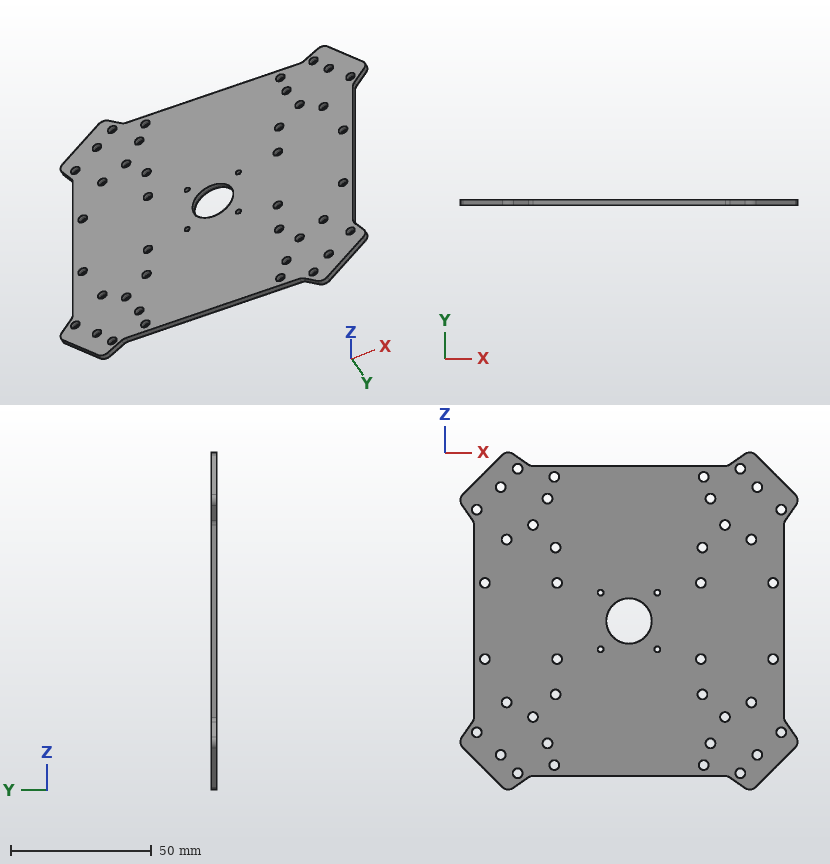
import cadquery as cq
import math

THICKNESS = 2.0
BODY_HALF = 55.0
EDGE_HALF = 35.0

TAB_FLARE_ANGLE = 35.0
TAB_END_DISTANCE = 73.46
TAB_CORNER_RADIUS = 3.0
TAB_ROOT_RADIUS = 3.0

CENTER_BORE_DIAMETER = 16.0
CENTER_SCREW_DIAMETER = 2.0
CENTER_SCREW_SPACING = 20.1

MOUNT_HOLE_DIAMETER = 3.4
TAB_HOLES = [(39.5, 54.0), (45.5, 47.5), (54.0, 39.5)]
ARM_HOLES = [(28.9, 43.4), (34.05, 34.05), (43.4, 28.9), (26.05, 26.05)]
SIDE_HOLES = [(26.5, 51.1), (51.1, 13.5), (25.5, 13.5)]

QUADRANT_SIGNS = [(1, 1), (-1, 1), (-1, -1), (1, -1)]


def mirrored(points):
    """Copy positive-quadrant points into all four quadrants."""
    return [(sx * x, sz * z) for sx, sz in QUADRANT_SIGNS for x, z in points]


def tab_tip():
    """Sharp corner where the flank leaving the top side meets the diagonal tab end."""
    slope = math.tan(math.radians(TAB_FLARE_ANGLE))
    end_sum = TAB_END_DISTANCE * math.sqrt(2)
    run = (end_sum - EDGE_HALF - BODY_HALF) / (1 + slope)
    return EDGE_HALF + run, BODY_HALF + run * slope


def round_corners(plate, points, radius):
    """Fillet the through-thickness edges that stand at the given (X, Z) points."""
    edges = [plate.edges(cq.NearestToPointSelector((x, 0, z))).val() for x, z in points]
    return plate.newObject(edges).fillet(radius)


def make_plate():
    """Square plate with a flared, rounded tab at each corner."""
    tip_x, tip_z = tab_tip()
    quadrant = [(BODY_HALF, EDGE_HALF), (tip_z, tip_x), (tip_x, tip_z), (EDGE_HALF, BODY_HALF)]
    outline = []
    for sx, sz in QUADRANT_SIGNS:
        corner = [(sx * x, sz * z) for x, z in quadrant]
        outline += corner if sx * sz > 0 else corner[::-1]
    plate = cq.Workplane("XZ").polyline(outline).close().extrude(THICKNESS / 2, both=True)
    plate = round_corners(plate, mirrored([(tip_x, tip_z), (tip_z, tip_x)]), TAB_CORNER_RADIUS)
    roots = mirrored([(EDGE_HALF, BODY_HALF), (BODY_HALF, EDGE_HALF)])
    return round_corners(plate, roots, TAB_ROOT_RADIUS)


def through_holes(points, diameter):
    """Cylinders that cut through the plate at the given (X, Z) points."""
    return cq.Workplane("XZ").pushPoints(points).circle(diameter / 2).extrude(THICKNESS, both=True)


screw_offset = CENTER_SCREW_SPACING / 2

result = make_plate()
result = result.cut(through_holes([(0, 0)], CENTER_BORE_DIAMETER))
result = result.cut(through_holes(mirrored([(screw_offset, screw_offset)]), CENTER_SCREW_DIAMETER))
result = result.cut(through_holes(mirrored(TAB_HOLES + ARM_HOLES + SIDE_HOLES), MOUNT_HOLE_DIAMETER))